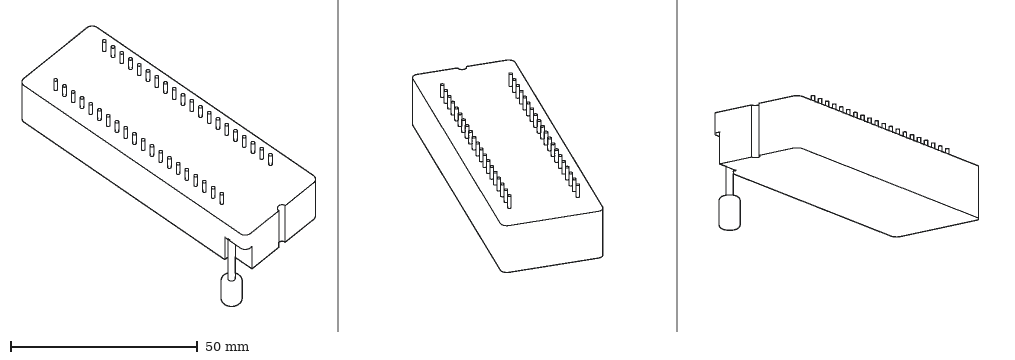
import cadquery as cq

body_length = 82.7
body_width = 28.8
body_height = 14.6
corner_radius = 1.9
notch_radius = 1.2

pins_per_row = 20
pin_row_length = 60.6
row_spacing = 19.2
pin_diameter = 1.0
pin_height = 3.7
pin_rows_center_x = -2.1

rod_diameter = 2.0
rod_inset = 1.2
rod_end_distance = 6.3
recess_length = 7.6
recess_depth = 2.5
recess_drop = 5.7
knob_diameter = 5.8
knob_length = 8.85
knob_edge_radius = 1.2
overall_height = 34.65

pin_pitch = pin_row_length / (pins_per_row - 1)
end_x = body_length / 2
front_y = -body_width / 2
rod_x = end_x - rod_end_distance
rod_y = front_y + rod_inset
recess_top_z = body_height - recess_drop
knob_bottom_z = body_height + pin_height - overall_height


def make_body():
    body = cq.Workplane("XY").box(body_length, body_width, body_height, centered=(True, True, False))
    body = body.edges("|Z").fillet(corner_radius)
    notch = cq.Workplane("XY").center(end_x, 0).circle(notch_radius).extrude(body_height)
    recess = (
        cq.Workplane("XY")
        .box(recess_length, recess_depth, recess_top_z, centered=False)
        .translate((end_x - recess_length, front_y, 0))
    )
    return body.cut(notch).cut(recess)


def make_pins():
    return (
        cq.Workplane("XY", origin=(pin_rows_center_x, 0, body_height))
        .rarray(pin_pitch, row_spacing, pins_per_row, 2)
        .circle(pin_diameter / 2)
        .extrude(pin_height)
    )


def make_lever():
    base = cq.Workplane("XY", origin=(rod_x, rod_y, knob_bottom_z))
    knob = base.circle(knob_diameter / 2).extrude(knob_length).edges().fillet(knob_edge_radius)
    rod = base.circle(rod_diameter / 2).extrude(recess_top_z - knob_bottom_z)
    return knob.union(rod)


result = make_body().union(make_pins()).union(make_lever())